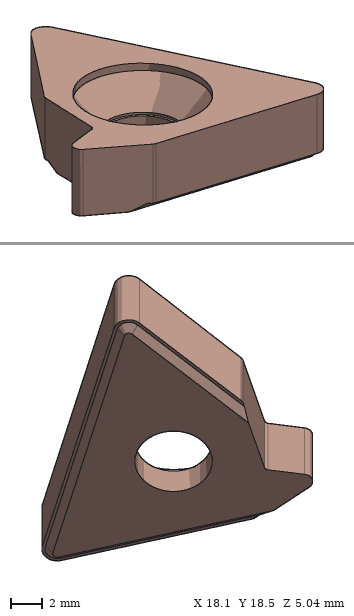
import cadquery as cq
import math

inscribed_radius = 6.35
corner_radius = 1.0

flat_y = -5.5
flat_corner_radius = 0.5
tooth_x = 3.85
tooth_tip_y = -8.2
tooth_tip_radius = 0.6
tooth_half_angle = math.radians(24.5)
tooth_root_radius = 0.3
tooth_shoulder_radius = 0.5

max_height = 5.04
top_slope = math.radians(1.05)

relief_height = 0.5
relief_step = 0.2

bore_radius = 2.49
cone_bottom_radius = 2.7
cone_top_radius = 4.5
ledge_z = 2.08
cone_bottom_z = 2.25
cone_top_z = 4.37

left_x = corner_radius - 2 * inscribed_radius


def rounded_triangle(inset):
    """Sketch the triangle with every side, and its corner arcs, moved inwards by inset."""
    apothem = inscribed_radius - inset
    half_side = math.sqrt(3) * apothem
    left_corner = (-2 * apothem, 0)
    return (
        cq.Sketch()
        .polygon([left_corner, (apothem, -half_side), (apothem, half_side), left_corner])
        .vertices()
        .fillet(corner_radius - inset)
    )


def profile_body():
    """Extrude the outline of the triangle and tooth to full height."""
    tooth_slope = math.tan(tooth_half_angle)
    apex_y = tooth_tip_y + tooth_tip_radius - tooth_tip_radius / math.sin(tooth_half_angle)
    root = (tooth_x - (flat_y - apex_y) * tooth_slope, flat_y)
    shoulder = (inscribed_radius, apex_y + (inscribed_radius - tooth_x) / tooth_slope)
    flat_start = (-2 * inscribed_radius - math.sqrt(3) * flat_y, flat_y)
    corners = [
        ((-2 * inscribed_radius, 0), corner_radius),
        (flat_start, flat_corner_radius),
        (root, tooth_root_radius),
        ((tooth_x, apex_y), tooth_tip_radius),
        (shoulder, tooth_shoulder_radius),
        ((inscribed_radius, math.sqrt(3) * inscribed_radius), corner_radius),
    ]
    body = cq.Workplane("XY").polyline([point for point, _ in corners]).close().extrude(max_height)
    for (x, y), radius in corners:
        edge = cq.selectors.NearestToPointSelector((x, y, max_height / 2))
        body = body.edges(edge).fillet(radius)
    return body


def bottom_relief():
    """Material outside the stepped and bevelled foot of the triangle."""
    foot = (
        cq.Workplane("XY")
        .placeSketch(
            rounded_triangle(relief_step + relief_height),
            rounded_triangle(relief_step).moved(cq.Location(cq.Vector(0, 0, relief_height))),
        )
        .loft(ruled=True)
    )
    slab_size = 6 * inscribed_radius
    slab = cq.Workplane("XY").rect(slab_size, slab_size).extrude(relief_height)
    return slab.cut(foot)


def top_wedge():
    """Material above the sloping top face."""
    drop = (inscribed_radius - left_x) * math.tan(top_slope)
    return (
        cq.Workplane("XZ")
        .polyline([
            (left_x, max_height),
            (inscribed_radius, max_height),
            (inscribed_radius, max_height - drop),
        ])
        .close()
        .extrude(3 * inscribed_radius, both=True)
    )


def screw_hole():
    """Bore, small ledge with a short neck, conical seat and short cylindrical mouth."""
    return (
        cq.Workplane("XZ")
        .polyline([
            (0, 0),
            (bore_radius, 0),
            (bore_radius, ledge_z),
            (cone_bottom_radius, ledge_z),
            (cone_bottom_radius, cone_bottom_z),
            (cone_top_radius, cone_top_z),
            (cone_top_radius, max_height),
            (0, max_height),
        ])
        .close()
        .revolve(360, (0, 0), (0, 1))
    )


result = profile_body().cut(bottom_relief()).cut(top_wedge()).cut(screw_hole())